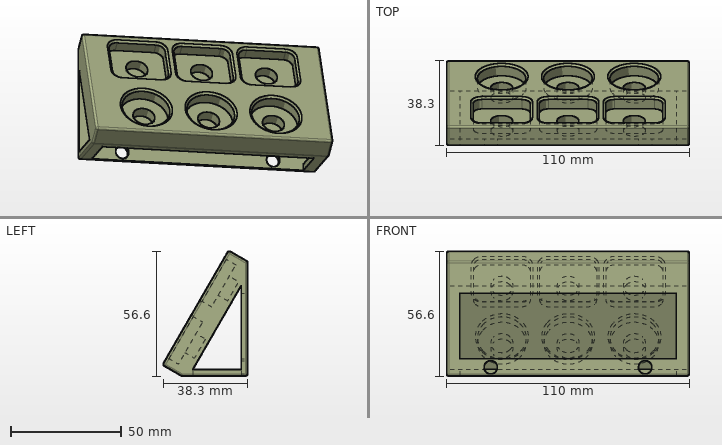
import cadquery as cq
import math

width = 110.0
tilt = math.radians(60)
plate_length = 60.0
plate_edge = 10.0
edge_radius = 1.0
wall = 3.0
plate_thickness = 13.0

window_width = 98.0
window_bottom = 7.9
window_top = 37.6

screw_diameter = 6.0
screw_height = 4.0
screw_spacing = 70.0

columns = 3
socket_pitch = 30.0
socket_depth = 5.9
socket_chamfer = 1.0
chamfer_angle = 45
round_diameter = 22.0
rectangle_width = 26.0
rectangle_height = 22.0
rectangle_corner_radius = 4.0
pin_diameter = 10.0
pin_depth = 5.0

heel = (plate_length * math.cos(tilt), 0)
face_bottom = (heel[0] + plate_edge * math.sin(tilt), plate_edge * math.cos(tilt))
wall_top = (0, plate_length * math.sin(tilt))
face_top = (plate_edge * math.sin(tilt), wall_top[1] + plate_edge * math.cos(tilt))

slope = math.tan(tilt)
tunnel_toe = face_bottom[0] + (face_bottom[1] - wall) / slope - plate_thickness / math.sin(tilt)
tunnel_apex = wall + (tunnel_toe - wall) * slope

face_plane = cq.Plane(
    origin=(0, (face_bottom[0] + face_top[0]) / 2, (face_bottom[1] + face_top[1]) / 2),
    xDir=(1, 0, 0),
    normal=(0, math.sin(tilt), math.cos(tilt)),
)


def side_prism(points):
    """Extrude a (Y, Z) outline across the full width."""
    return cq.Workplane("YZ").polyline(points).close().extrude(width / 2, both=True)


def stand_body():
    outline = [(0, 0), heel, face_bottom, face_top, wall_top]
    return side_prism(outline).edges().fillet(edge_radius)


def tunnel():
    return side_prism([(wall, wall), (tunnel_toe, wall), (wall, tunnel_apex)])


def window_box(depth, height):
    """Box of the window width, centred in X, reaching from the origin along +Y and +Z."""
    return cq.Workplane("XY").box(window_width, depth, height, centered=(True, False, False))


def front_window():
    return window_box(wall, window_top - window_bottom).translate((0, 0, window_bottom))


def floor_window():
    return window_box(tunnel_toe - wall, wall).translate((0, wall, 0))


def screw_holes():
    centers = [(-screw_spacing / 2, screw_height), (screw_spacing / 2, screw_height)]
    return cq.Workplane("XZ").pushPoints(centers).circle(screw_diameter / 2).extrude(-wall)


def socket_cutter(outline):
    """Join a blind recess with a chamfered rim and a pin hole in its floor; the rim lies at Z = 0."""
    rim = outline(socket_chamfer).extrude(-socket_chamfer, taper=chamfer_angle)
    recess = outline(0).extrude(-socket_depth)
    pin = cq.Workplane("XY").circle(pin_diameter / 2).extrude(-socket_depth - pin_depth)
    return rim.union(recess).union(pin)


def round_outline(offset):
    return cq.Workplane("XY").circle(round_diameter / 2 + offset)


def rectangular_outline(offset):
    sketch = cq.Sketch().rect(rectangle_width + 2 * offset, rectangle_height + 2 * offset)
    return cq.Workplane("XY").placeSketch(sketch.vertices().fillet(rectangle_corner_radius + offset))


def socket_row(socket, offset):
    """Repeat a socket along the tilted face at an offset measured down the slope from the face centre."""
    points = [((i - (columns - 1) / 2) * socket_pitch, offset) for i in range(columns)]
    row = cq.Workplane(face_plane).pushPoints(points)
    return row.eachpoint(socket.val(), useLocalCoordinates=True, combine=False)


result = (
    stand_body()
    .cut(tunnel())
    .cut(front_window())
    .cut(floor_window())
    .cut(screw_holes())
    .cut(socket_row(socket_cutter(round_outline), socket_pitch / 2))
    .cut(socket_row(socket_cutter(rectangular_outline), -socket_pitch / 2))
)